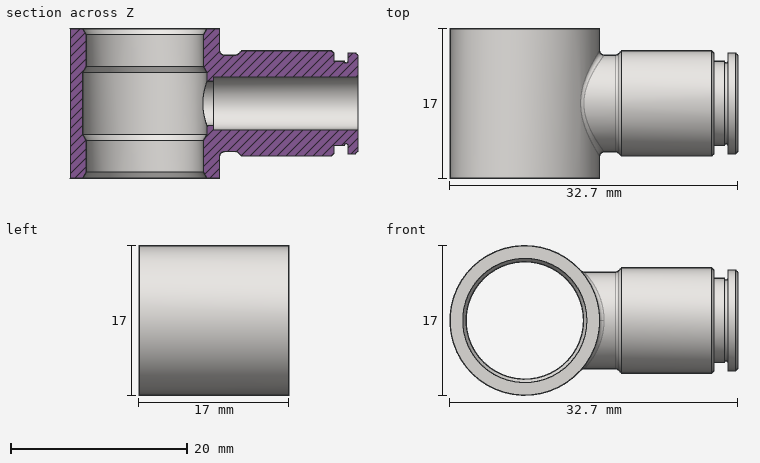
import cadquery as cq
import math

ring_radius = 8.5
ring_length = 17.0
bore_radius = 6.65
mouth_radius = 7.05
mouth_depth = 0.7
recess_radius = mouth_radius
recess_half_length = 4.2
recess_bevel = mouth_depth

neck_radius = 5.5
neck_root_fillet = 0.5
selection_margin = 0.5
body_radius = 6.0
body_start = 11.0
body_end = 21.5
shoulder_angle = math.radians(45)
shoulder_length = (body_radius - neck_radius) / math.tan(shoulder_angle)
shoulder_fillet = 0.5
body_chamfer = 0.3
neck_end = body_start - shoulder_length
collar_radius = 4.8
groove_round = 0.2
flange_radius = 5.75
flange_start = 23.05
flange_end = 24.2
flange_chamfer = 0.3
groove_middle = flange_start - groove_round
collar_end = groove_middle - groove_round

port_radius = 2.5
port_end = 7.8
socket_radius = 3.0


def cylinder_along_x(radius, start, end):
    return cq.Workplane("YZ").workplane(offset=start).circle(radius).extrude(end - start)


def make_ring_with_neck():
    """Ring joined to the neck, with a fillet along the curve where they meet."""
    ring = cq.Workplane("XZ").circle(ring_radius).extrude(ring_length / 2, both=True)
    blank = ring.union(cylinder_along_x(neck_radius, 0, neck_end))
    joint_start = math.sqrt(ring_radius**2 - neck_radius**2)
    joint_edges = cq.selectors.BoxSelector(
        (joint_start - selection_margin, -body_radius, -body_radius),
        (ring_radius + selection_margin, body_radius, body_radius),
    )
    return blank.edges(joint_edges).fillet(neck_root_fillet)


def make_arm_end():
    """Turned body, collar, half-round groove and flange, revolved about X."""
    tangent_length = shoulder_fillet * math.tan(shoulder_angle / 2)
    fillet_start = neck_end - tangent_length
    fillet_middle = (
        fillet_start + shoulder_fillet * math.sin(shoulder_angle / 2),
        neck_radius + shoulder_fillet * (1 - math.cos(shoulder_angle / 2)),
    )
    fillet_end = (
        neck_end + tangent_length * math.cos(shoulder_angle),
        neck_radius + tangent_length * math.sin(shoulder_angle),
    )
    profile = (
        cq.Workplane("XY")
        .moveTo(fillet_start, 0)
        .lineTo(fillet_start, neck_radius)
        .threePointArc(fillet_middle, fillet_end)
        .lineTo(body_start, body_radius)
        .lineTo(body_end - body_chamfer, body_radius)
        .lineTo(body_end, body_radius - body_chamfer)
        .lineTo(body_end, collar_radius)
        .lineTo(collar_end, collar_radius)
        .threePointArc((groove_middle, collar_radius - groove_round), (flange_start, collar_radius))
        .lineTo(flange_start, flange_radius)
        .lineTo(flange_end - flange_chamfer, flange_radius)
        .lineTo(flange_end, flange_radius - flange_chamfer)
        .lineTo(flange_end, 0)
        .close()
    )
    return profile.revolve(360, (0, 0), (1, 0))


def make_bore():
    """Through bore along Y with flared mouths and a wider middle recess."""
    half_length = ring_length / 2
    profile = [
        (0, -half_length),
        (mouth_radius, -half_length),
        (bore_radius, mouth_depth - half_length),
        (bore_radius, -recess_half_length),
        (recess_radius, recess_bevel - recess_half_length),
        (recess_radius, recess_half_length - recess_bevel),
        (bore_radius, recess_half_length),
        (bore_radius, half_length - mouth_depth),
        (mouth_radius, half_length),
        (0, half_length),
    ]
    return cq.Workplane("XY").polyline(profile).close().revolve(360, (0, 0), (0, 1))


def make_passage():
    port = cylinder_along_x(port_radius, 0, port_end)
    socket = cylinder_along_x(socket_radius, port_end, flange_end)
    return port.union(socket)


result = make_ring_with_neck().union(make_arm_end())
result = result.cut(make_bore()).cut(make_passage())